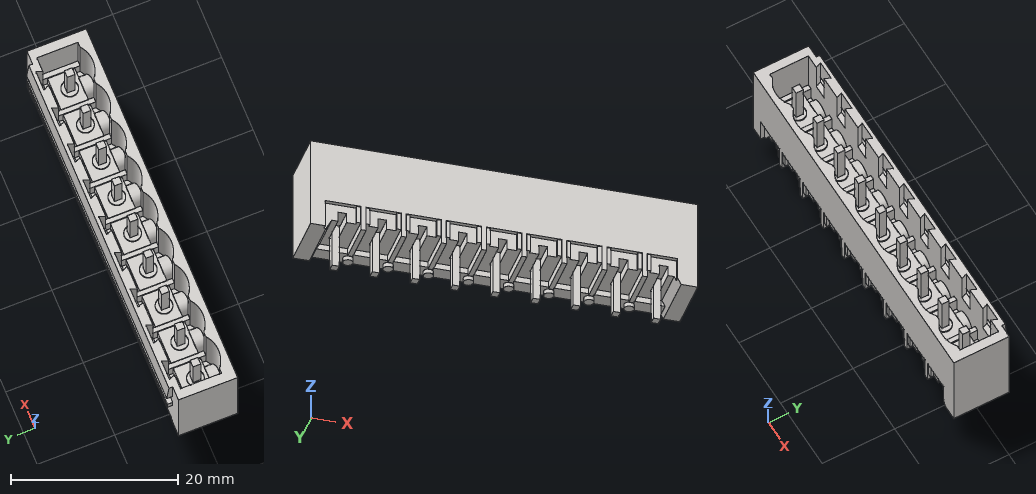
import cadquery as cq

PIN_COUNT = 9
PIN_ROW_LENGTH = 40.0
PITCH = PIN_ROW_LENGTH / (PIN_COUNT - 1)
PIN_WIDTH = 0.9
PIN_DEPTH = 1.0
PIN_Y = 3.8
PIN_TAIL = 3.2
PIN_TOP = 10.95

LENGTH = 48.2
DEPTH = 7.65
HEIGHT = 12.0
END_WALL = 1.25
FRONT_WALL = 1.6
BACK_WALL = 0.75
FLOOR_TOP = 3.85

RIB_WIDTH = 0.65
RIB_TOP = 5.8
RIB_BOTTOM = 0.3
BAY_WIDTH = PITCH - RIB_WIDTH
SCALLOP_DEPTH = 0.75

SADDLE_RADIUS = 1.5
BLOCK_FRONT = 2.25
BLOCK_BACK = 5.8
BLOCK_TOP = 5.55
COLLAR_RADIUS = 1.05
COLLAR_HEIGHT = 0.2

SLOT_INNER_WIDTH = 1.9
SLOT_OUTER_WIDTH = 2.5
SLOT_BOTTOM = 7.9

RIDGE_LENGTH = 44.6
RIDGE_BOTTOM = 8.8
RIDGE_TOP_REACH = 0.5
RIDGE_BOTTOM_REACH = 0.75
LEDGE_BOTTOM = 5.9
LEDGE_HEIGHT = 0.95
LEDGE_REACH = 0.67

OPENING_HEIGHT = 3.65
OPENING_DEPTH = 0.55
OPENING_LEFT_X = -22.25
OPENING_RIGHT_X = 21.6
HOLLOW_HEIGHT = 1.35
HOLLOW_BASE_LENGTH = 44.05
HOLLOW_TOP_LENGTH = 42.6
BAND_FRONT = 5.8
BAND_BOTTOM = 0.6
STIFFENER_WIDTH = 1.65
STIFFENER_FRONT = 0.15
FOOT_RADIUS = 0.65
NOTCH_WIDTH = 1.05
NOTCH_TOP = 2.65

CAVITY_BACK = DEPTH - BACK_WALL
PIN_XS = [(i - (PIN_COUNT - 1) / 2) * PITCH for i in range(PIN_COUNT)]
RIB_XS = [x + PITCH / 2 for x in PIN_XS[:-1]]
BAY_ROW_LENGTH = PIN_ROW_LENGTH + BAY_WIDTH


def block(x_center, width, y_front, y_back, z_bottom, z_top):
    """Box centred on x_center, given by its front, back, bottom and top planes."""
    return (
        cq.Workplane("XY")
        .box(width, y_back - y_front, z_top - z_bottom, centered=(True, False, False))
        .translate((x_center, y_front, z_bottom))
    )


def cavity():
    """Plug opening above the floor, with a shallow arc in the front wall at each bay."""
    space = block(0, LENGTH - 2 * END_WALL, FRONT_WALL, CAVITY_BACK, FLOOR_TOP, HEIGHT)
    for x in PIN_XS:
        scallop = (
            cq.Workplane("XY", origin=(x, FRONT_WALL, FLOOR_TOP))
            .moveTo(-BAY_WIDTH / 2, 0)
            .threePointArc((0, -SCALLOP_DEPTH), (BAY_WIDTH / 2, 0))
            .close()
            .extrude(HEIGHT - FLOOR_TOP)
        )
        space = space.union(scallop)
    return space


def dovetail_slot(x):
    """Slot through the back wall, wider on its outer side and open at the top."""
    return (
        cq.Workplane("XY", origin=(x, 0, SLOT_BOTTOM))
        .polyline([
            (-SLOT_INNER_WIDTH / 2, CAVITY_BACK),
            (SLOT_INNER_WIDTH / 2, CAVITY_BACK),
            (SLOT_OUTER_WIDTH / 2, DEPTH),
            (-SLOT_OUTER_WIDTH / 2, DEPTH),
        ])
        .close()
        .extrude(HEIGHT - SLOT_BOTTOM)
    )


def locking_ridge():
    """Ridge along the top of the back face, reaching farther out at its bottom."""
    return (
        cq.Workplane("YZ", origin=(-RIDGE_LENGTH / 2, 0, 0))
        .polyline([
            (DEPTH, RIDGE_BOTTOM),
            (DEPTH + RIDGE_BOTTOM_REACH, RIDGE_BOTTOM),
            (DEPTH + RIDGE_TOP_REACH, HEIGHT),
            (DEPTH, HEIGHT),
        ])
        .close()
        .extrude(RIDGE_LENGTH)
    )


def ledge():
    """Square strip on the back face, below the locking ridge."""
    return block(0, RIDGE_LENGTH, DEPTH, DEPTH + LEDGE_REACH, LEDGE_BOTTOM, LEDGE_BOTTOM + LEDGE_HEIGHT)


def underside_hollow():
    """Hollow under the floor with sloping ends, shallower along a band at the back."""
    hollow = (
        cq.Workplane("XZ")
        .polyline([
            (-HOLLOW_BASE_LENGTH / 2, 0),
            (HOLLOW_BASE_LENGTH / 2, 0),
            (HOLLOW_TOP_LENGTH / 2, HOLLOW_HEIGHT),
            (-HOLLOW_TOP_LENGTH / 2, HOLLOW_HEIGHT),
        ])
        .close()
        .extrude(-DEPTH)
    )
    band = block(0, LENGTH, BAND_FRONT, DEPTH, BAND_BOTTOM, HOLLOW_HEIGHT)
    return hollow.cut(band)


def front_opening():
    """Opening low in the front wall, closer to the left end than to the right."""
    center = (OPENING_LEFT_X + OPENING_RIGHT_X) / 2
    return block(center, OPENING_RIGHT_X - OPENING_LEFT_X, 0, OPENING_DEPTH, 0, OPENING_HEIGHT)


def pin_seat(x):
    """Half-round saddle along Y with a block across it and a round collar for the pin."""
    front = FRONT_WALL - SCALLOP_DEPTH
    saddle = (
        cq.Workplane("XZ", origin=(x, front, FLOOR_TOP))
        .circle(SADDLE_RADIUS)
        .extrude(front - CAVITY_BACK)
        .intersect(block(x, BAY_WIDTH, front, CAVITY_BACK, FLOOR_TOP, HEIGHT))
    )
    seat = block(x, BAY_WIDTH, BLOCK_FRONT, BLOCK_BACK, FLOOR_TOP, BLOCK_TOP)
    collar = (
        cq.Workplane("XY", origin=(x, PIN_Y, BLOCK_TOP))
        .circle(COLLAR_RADIUS)
        .extrude(COLLAR_HEIGHT)
    )
    return saddle.union(seat).union(collar)


def rib(x):
    """Divider between two bays, with a wider stiffener in front and a round foot at the back."""
    upper = block(x, RIB_WIDTH, FRONT_WALL, CAVITY_BACK, FLOOR_TOP, RIB_TOP)
    lower = block(x, RIB_WIDTH, 0, BAND_FRONT, RIB_BOTTOM, OPENING_HEIGHT)
    stiffener = block(x, STIFFENER_WIDTH, STIFFENER_FRONT, OPENING_DEPTH, HOLLOW_HEIGHT, OPENING_HEIGHT)
    foot_y = (BAND_FRONT + DEPTH) / 2
    foot = cq.Workplane("XY", origin=(x, foot_y, 0)).circle(FOOT_RADIUS).extrude(BAND_BOTTOM)
    return upper.union(lower).union(stiffener).union(foot)


def end_rib(side):
    """Rib at the outer edge of the row, joined to the end wall."""
    inner = BAY_ROW_LENGTH / 2
    outer = LENGTH / 2 - END_WALL
    return block(side * (inner + outer) / 2, outer - inner, FRONT_WALL, CAVITY_BACK, FLOOR_TOP, RIB_TOP)


def pin_notch(x):
    """Notch from the front opening to the back of the pin, under the floor."""
    return block(x, NOTCH_WIDTH, OPENING_DEPTH, PIN_Y + PIN_DEPTH / 2, HOLLOW_HEIGHT, NOTCH_TOP)


def pin(x):
    """Straight contact pin from the tail below the base up into the cavity."""
    return block(x, PIN_WIDTH, PIN_Y - PIN_DEPTH / 2, PIN_Y + PIN_DEPTH / 2, -PIN_TAIL, PIN_TOP)


def make_housing():
    """Header housing as one solid, with a matching rectangular hole for each pin."""
    body = block(0, LENGTH, 0, DEPTH, 0, HEIGHT)
    body = body.cut(cavity()).cut(underside_hollow()).cut(front_opening())
    for x in PIN_XS:
        body = body.cut(dovetail_slot(x)).cut(pin_notch(x)).union(pin_seat(x))
    for x in RIB_XS:
        body = body.union(rib(x))
    for side in (-1, 1):
        body = body.union(end_rib(side))
    body = body.union(locking_ridge()).union(ledge())
    for x in PIN_XS:
        body = body.cut(pin(x))
    return body


housing = make_housing()
pins = [pin(x) for x in PIN_XS]

result = cq.Compound.makeCompound([housing.val(), *[p.val() for p in pins]])